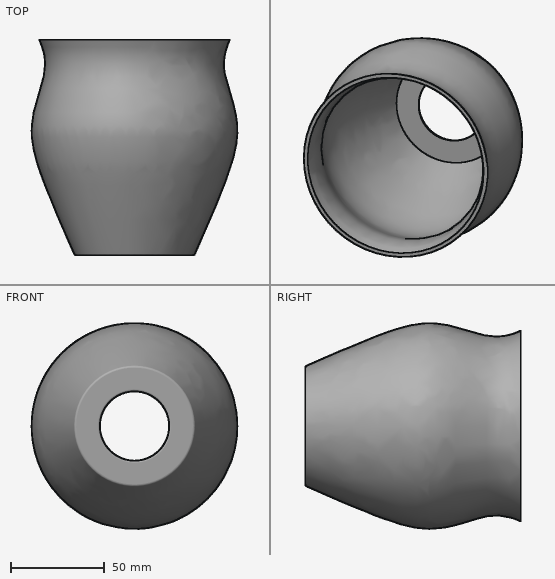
import cadquery as cq

length = 114.86
foot_radius = 31.9
foot_slope = 0.43
flank_radius = 49.85
flank_y = 43.0
belly_radius = 54.9
belly_y = 66.5
shoulder_radius = 50.45
shoulder_y = 88.4
neck_radius = 47.7
neck_y = 101.4
lip_radius = 50.85
lip_slope = 0.49

wall = 2.0
opening_radius = 18.4
edge_round = 1.25


def solid_vase():
    """The outer shape as a solid of revolution, its wall one smooth curve."""
    wall_points = [
        (foot_radius, 0),
        (flank_radius, flank_y),
        (belly_radius, belly_y),
        (shoulder_radius, shoulder_y),
        (neck_radius, neck_y),
        (lip_radius, length),
    ]
    profile = (
        cq.Workplane("XY")
        .lineTo(foot_radius, 0)
        .spline(wall_points, tangents=[(foot_slope, 1), (lip_slope, 1)])
        .lineTo(0, length)
        .close()
    )
    return profile.revolve(360, (0, 0, 0), (0, 1, 0))


def hollow_out(body):
    """Leave an even wall and floor, open at the lip."""
    return body.faces(">Y").shell(-wall)


def cut_floor_opening(body):
    """Round hole through the floor, on the axis."""
    opening = cq.Workplane("XZ").circle(opening_radius).extrude(-2 * wall)
    return body.cut(opening)


def round_foot_edges(body):
    """Round the outer edge of the foot and the outer edge of the floor opening."""
    return body.faces("<Y").edges().fillet(edge_round)


vase = hollow_out(solid_vase())
vase = cut_floor_opening(vase)
result = round_foot_edges(vase)